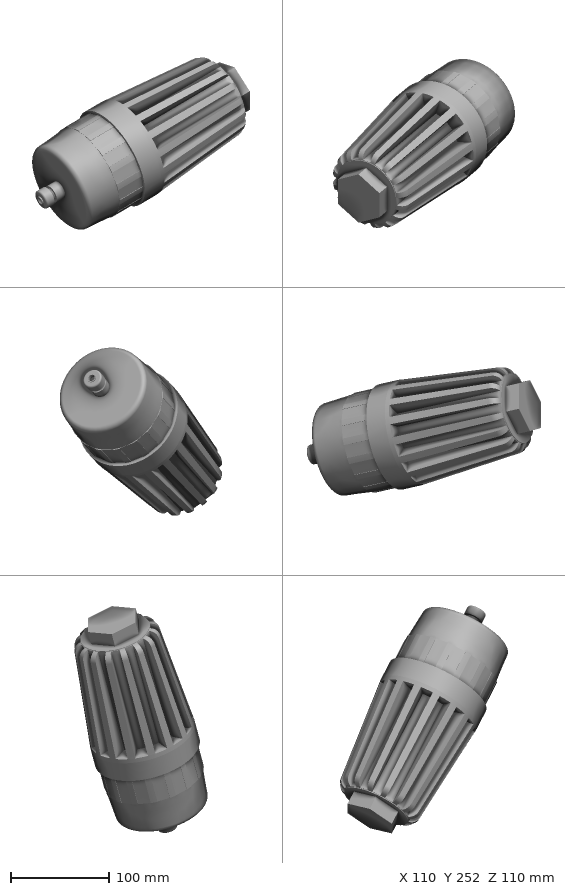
import cadquery as cq
import math


FIN_COUNT = 16
FIN_PITCH = 360.0 / FIN_COUNT

CUP_FACE_RADIUS = 43.0
CUP_RIM_RADIUS = 48.4
CUP_CONE_START = 4.8
CUP_CONE_END = 37.4
CUP_TOP_RADIUS = 51.0

GRIP_RADIUS = 52.0
GRIP_END = 67.5
GRIP_FLAT_HEIGHT = 51.15
LAND_WIDTH = 6.8

COLLAR_RADIUS = 55.0
COLLAR_END = 88.8
SHOULDER_END = 93.4
FIN_START = 94.8
FIN_START_RADIUS = 54.45
TAPER_DEGREES = 5.0

COVER_END = 211.3
COVER_ROUNDING = 10.0
DISC_RADIUS = 36.0
DISC_THICKNESS = 0.8

GROOVE_FLOOR_RADIUS = 36.4
GROOVE_FLOOR_WIDTH = 9.12
GROOVE_WALL_DEGREES = 7.0

HEX_FLATS = 50.0
HEX_LENGTH = 14.6

STEM_DIAMETER = 18.9
STEM_LENGTH = 10.6
NECK_DIAMETER = 13.5
NECK_LENGTH = 3.6
KNOB_DIAMETER = 20.5
KNOB_LENGTH = 10.0
KNOB_ROUNDING = 1.9
NOZZLE_DIAMETER = 9.0
NOZZLE_LENGTH = 1.1
NOZZLE_BORE = 7.0
NOZZLE_BORE_DEPTH = 5.0


def disc(diameter, start, length):
    """Cylinder on the Y axis from station `start` toward +Y."""
    plane = cq.Plane(origin=(0, start, 0), xDir=(1, 0, 0), normal=(0, 1, 0))
    return cq.Workplane(plane).circle(diameter / 2).extrude(length)


def around_axis(body, index):
    """Copy of `body` turned `index` pitches about the Y axis."""
    return body.rotate((0, 0, 0), (0, 1, 0), index * FIN_PITCH)


def make_cup():
    """Tapered cup with a rounded rim around its flat face."""
    lean = math.sin(math.radians(45))
    rim_middle = (
        CUP_FACE_RADIUS + (CUP_RIM_RADIUS - CUP_FACE_RADIUS) * lean,
        CUP_CONE_START * (1 - lean),
    )
    return (
        cq.Workplane("XY")
        .lineTo(CUP_FACE_RADIUS, 0)
        .threePointArc(rim_middle, (CUP_RIM_RADIUS, CUP_CONE_START))
        .lineTo(CUP_TOP_RADIUS, CUP_CONE_END)
        .lineTo(0, CUP_CONE_END)
        .close()
        .revolve(360, (0, 0, 0), (0, 1, 0))
    )


def make_grip():
    """Many-sided prism with a raised land along every corner."""
    length = GRIP_END - CUP_CONE_END
    plane = cq.Plane(origin=(0, CUP_CONE_END, 0), xDir=(0, 0, 1), normal=(0, 1, 0))
    corner_diameter = 2 * GRIP_FLAT_HEIGHT / math.cos(math.radians(FIN_PITCH / 2))
    grip = cq.Workplane(plane).polygon(FIN_COUNT, corner_diameter).extrude(length)
    lands = cq.Workplane(plane).rect(2 * COLLAR_RADIUS, LAND_WIDTH).extrude(length)
    for index in range(FIN_COUNT // 2):
        grip = grip.union(around_axis(lands, index))
    return grip.intersect(disc(2 * GRIP_RADIUS, CUP_CONE_END, length))


def make_cover():
    """Collar, shoulder and tapered cover, rounded at the small end."""
    taper = math.tan(math.radians(TAPER_DEGREES))
    shoulder_radius = COLLAR_RADIUS - (SHOULDER_END - COLLAR_END) * taper
    end_radius = FIN_START_RADIUS - (COVER_END - FIN_START) * taper
    body = (
        cq.Workplane("XY")
        .moveTo(0, GRIP_END)
        .lineTo(COLLAR_RADIUS, GRIP_END)
        .lineTo(COLLAR_RADIUS, COLLAR_END)
        .lineTo(shoulder_radius, SHOULDER_END)
        .lineTo(FIN_START_RADIUS, FIN_START)
        .lineTo(end_radius, COVER_END)
        .lineTo(0, COVER_END)
        .close()
        .revolve(360, (0, 0, 0), (0, 1, 0))
    )
    return body.faces(">Y").edges().fillet(COVER_ROUNDING)


def make_groove():
    """Flat-floored groove with flaring walls, open toward +Z."""
    depth = COLLAR_RADIUS - GROOVE_FLOOR_RADIUS
    floor_half = GROOVE_FLOOR_WIDTH / 2
    mouth_half = floor_half + depth * math.tan(math.radians(GROOVE_WALL_DEGREES))
    plane = cq.Plane(origin=(0, SHOULDER_END, 0), xDir=(-1, 0, 0), normal=(0, 1, 0))
    return (
        cq.Workplane(plane)
        .moveTo(-floor_half, GROOVE_FLOOR_RADIUS)
        .lineTo(floor_half, GROOVE_FLOOR_RADIUS)
        .lineTo(mouth_half, COLLAR_RADIUS)
        .lineTo(-mouth_half, COLLAR_RADIUS)
        .close()
        .extrude(COVER_END - SHOULDER_END)
    )


def make_finned_cover():
    """Cover with its grooves cut and a thin disc on its small end."""
    cover = make_cover()
    groove = make_groove()
    for index in range(FIN_COUNT):
        cover = cover.cut(around_axis(groove, index))
    return cover.union(disc(2 * DISC_RADIUS, COVER_END, DISC_THICKNESS))


def make_hexagon():
    """Hexagon with two corners on the Z direction."""
    corners = HEX_FLATS / math.cos(math.radians(30))
    plane = cq.Plane(origin=(0, COVER_END, 0), xDir=(0, 0, 1), normal=(0, 1, 0))
    return cq.Workplane(plane).polygon(6, corners).extrude(DISC_THICKNESS + HEX_LENGTH)


def make_stem():
    """Necked stem with a rounded knob and a bored nozzle at its tip."""
    neck_start = -STEM_LENGTH
    knob_start = neck_start - NECK_LENGTH
    nozzle_start = knob_start - KNOB_LENGTH
    tip = nozzle_start - NOZZLE_LENGTH
    knob = disc(KNOB_DIAMETER, nozzle_start, KNOB_LENGTH)
    knob = knob.faces("<Y").edges().fillet(KNOB_ROUNDING)
    return (
        disc(STEM_DIAMETER, neck_start, STEM_LENGTH)
        .union(disc(NECK_DIAMETER, knob_start, NECK_LENGTH))
        .union(knob)
        .union(disc(NOZZLE_DIAMETER, tip, NOZZLE_LENGTH))
        .cut(disc(NOZZLE_BORE, tip, NOZZLE_BORE_DEPTH))
    )


result = (
    make_cup()
    .union(make_grip())
    .union(make_finned_cover())
    .union(make_hexagon())
    .union(make_stem())
)